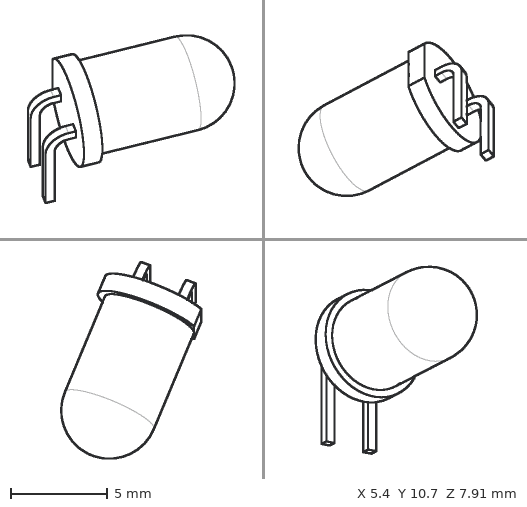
import cadquery as cq

total_length = 10.65
lens_radius = 2.5
flange_radius = 2.9
flange_thickness = 1.0
lead_width = 0.5
lead_pitch = 2.55
lead_stub = 0.4
bend_outer_radius = 1.25
lead_drop = 5.01

lead_reach = lead_stub + bend_outer_radius
lens_tip = total_length - lead_reach
dome_start = lens_tip - lens_radius
bend_inner_radius = bend_outer_radius - lead_width
lead_top = lead_width / 2
bend_bottom = lead_top - bend_outer_radius


def make_lens():
    """Cylinder with a hemispherical tip, revolved about Y."""
    return (
        cq.Workplane("XY")
        .lineTo(lens_radius, 0)
        .lineTo(lens_radius, dome_start)
        .radiusArc((0, lens_tip), -lens_radius)
        .close()
        .revolve(360, (0, 0, 0), (0, 1, 0))
    )


def make_flange():
    """Round flange with its -X side cut flush with the lens."""
    disc = cq.Workplane("XZ").circle(flange_radius).extrude(-flange_thickness)
    flat_keeper = cq.Workplane("XY").box(
        lens_radius + flange_radius,
        flange_thickness,
        2 * flange_radius,
        centered=(False, False, True),
    ).translate((-lens_radius, 0, 0))
    return disc.intersect(flat_keeper)


def make_lead(x_center):
    """Square lead leaving the flange backwards, then bent down."""
    return (
        cq.Workplane("YZ", origin=(x_center, 0, 0))
        .moveTo(0, lead_top)
        .lineTo(-lead_stub, lead_top)
        .radiusArc((-lead_reach, bend_bottom), -bend_outer_radius)
        .lineTo(-lead_reach, -lead_drop)
        .lineTo(-lead_reach + lead_width, -lead_drop)
        .lineTo(-lead_reach + lead_width, bend_bottom)
        .radiusArc((-lead_stub, -lead_top), bend_inner_radius)
        .lineTo(0, -lead_top)
        .close()
        .extrude(lead_width / 2, both=True)
    )


result = make_lens().union(make_flange())
for side in (-1, 1):
    result = result.union(make_lead(side * lead_pitch / 2))